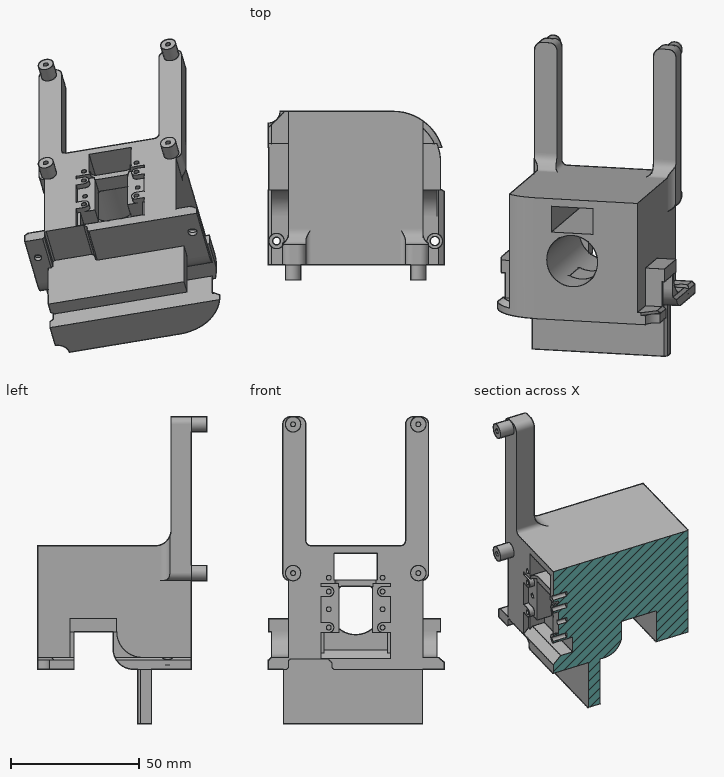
import cadquery as cq
import math


TOTAL_WIDTH = 68.75
TOTAL_HEIGHT = 119.92

BODY_HALF_WIDTH = 26.3
BODY_DEPTH = 59.99
BODY_HEIGHT = 48.35

PASSAGE_FRONT_Y = 30.6
PASSAGE_REAR_Y = 45.8
PASSAGE_HEIGHT = 14.7
PASSAGE_ROUND = 8.0

CORNER_X = 14.6
CORNER_Y = 40.0

FLANGE_HEIGHT = 4.7
ARCH_TOP = 19.8
ARCH_FRONT_Y = 29.15
ARCH_REAR_Y = 47.35
ARCH_ROUND = 10.0
LEFT_FOOT_X = -34.16
LEFT_ARCH_X = -32.9
LEFT_BRIDGE_X = -34.0
LEFT_EDGE_HEIGHT = 3.6
RIGHT_FOOT_X = LEFT_FOOT_X + TOTAL_WIDTH
RIGHT_ARCH_X = 31.8
RIGHT_BRIDGE_X = 33.2
RIGHT_FLAT_X = 32.3
RIGHT_EDGE_HEIGHT = 2.8
NOTCH_RADIUS = 4.6

SCREW_X = 30.9
SCREW_Y = 9.3
LEFT_SCREW_DIAMETER = 2.9
RIGHT_SCREW_DIAMETER = 3.5
SCREW_HEAD_DIAMETER = 6.0
SCREW_SEAT_Z = 1.8

ARM_OUTER_X = 28.5
ARM_INNER_X = 19.45
ARM_THICKNESS = 8.0
ARM_TOP = 98.7
ARM_BOTTOM = 34.6
ARM_ROUND = 3.0
ARM_INNER_FILLET = 2.0
ARM_REAR_FILLET = 6.0
ARM_SIDE_FILLET = 4.0

PIN_DIAMETER = 6.0
PIN_LENGTH = 6.0
PIN_X = 24.45
PILOT_DIAMETER = 1.9
PIN_HOLE_DEPTH = 10.0

TONGUE_LEFT_X = -28.2
TONGUE_RIGHT_X = 26.1
TONGUE_FRONT_Y = 15.5
TONGUE_REAR_Y = 20.97
TONGUE_BOTTOM = ARM_TOP - TOTAL_HEIGHT
TONGUE_CHAMFER = 1.14

UPPER_HALF_WIDTH = 8.4
UPPER_BOTTOM = 35.0
UPPER_TOP = 45.3
RECESS_HALF_WIDTH = 13.6
RECESS_DEPTH = 2.2
RECESS_TOP = 33.6
WINDOW_HALF_WIDTH = 6.5
WINDOW_BOTTOM = 14.4
WINDOW_TOP = 32.4
PLATE_BACK_Y = 8.6
BORE_DIAMETER = 20.5
BORE_Z = 23.85
CHAMBER_HALF_WIDTH = 12.4
CHAMBER_FLOOR = 7.6
SLOPE_BOTTOM = 4.3
SCREW_ROW_X = 10.5
SCREW_ROW_Z = (35.8, 30.4, 23.5, 16.35)
TAB_ROWS_Z = (SCREW_ROW_Z[1], SCREW_ROW_Z[3])
TAB_RADIUS = 1.95
PILOT_DEPTH = 6.0
RELIEF_HALF_WIDTH = 8.0
RELIEF_DEPTH = 2.4
RELIEF_ROUND = 2.1

CHANNEL_RIGHT_X = -9.25
CHANNEL_HEIGHT = 4.0
CHANNEL_CORNER = 1.4
CHANNEL_EDGE_CHAMFER = 0.7


def box(x0, x1, y0, y1, z0, z1):
    return cq.Workplane("XY").box(x1 - x0, y1 - y0, z1 - z0, centered=False).translate((x0, y0, z0))


def upright_cylinder(x, y, diameter, z0, z1):
    return cq.Workplane("XY", origin=(x, y, z0)).circle(diameter / 2).extrude(z1 - z0)


def front_cylinder(x, z, diameter, y0, y1):
    """Cylinder along +Y from y0 to y1."""
    return cq.Workplane("XZ", origin=(x, y0, z)).circle(diameter / 2).extrude(y0 - y1)


def rounded_plan(x_limit, height):
    """Full-depth block out to x_limit, its rear right corner concentric with the body corner."""
    radius = x_limit - CORNER_X
    corner = upright_cylinder(CORNER_X, CORNER_Y, 2 * radius, 0, height)
    straight = box(LEFT_FOOT_X, x_limit, 0, CORNER_Y, 0, height)
    rear = box(LEFT_FOOT_X, CORNER_X, 0, BODY_DEPTH, 0, height)
    return straight.union(rear).union(corner)


def make_body():
    body = box(-BODY_HALF_WIDTH, BODY_HALF_WIDTH, 0, BODY_DEPTH, 0, BODY_HEIGHT)
    return body.intersect(rounded_plan(RIGHT_FOOT_X, BODY_HEIGHT))


def arch_strip(x0, x1):
    """Flange and arch wall: the side profile carried across from x0 to x1."""
    round_centre_y = ARCH_FRONT_Y - ARCH_ROUND
    round_centre_z = FLANGE_HEIGHT + ARCH_ROUND
    diagonal = ARCH_ROUND * math.sqrt(0.5)
    return (
        cq.Workplane("YZ", origin=(x0, 0, 0))
        .lineTo(BODY_DEPTH, 0)
        .lineTo(BODY_DEPTH, FLANGE_HEIGHT)
        .lineTo(ARCH_REAR_Y, FLANGE_HEIGHT)
        .lineTo(ARCH_REAR_Y, ARCH_TOP)
        .lineTo(ARCH_FRONT_Y, ARCH_TOP)
        .lineTo(ARCH_FRONT_Y, round_centre_z)
        .threePointArc(
            (round_centre_y + diagonal, round_centre_z - diagonal),
            (round_centre_y, FLANGE_HEIGHT),
        )
        .lineTo(0, FLANGE_HEIGHT)
        .close()
        .extrude(x1 - x0)
    )


def make_left_flange():
    inner = -BODY_HALF_WIDTH
    strip = arch_strip(LEFT_ARCH_X, inner)
    bridge = box(LEFT_BRIDGE_X, inner, ARCH_FRONT_Y, ARCH_REAR_Y, PASSAGE_HEIGHT, ARCH_TOP)
    foot = (
        cq.Workplane("XZ")
        .moveTo(inner, 0)
        .lineTo(LEFT_FOOT_X, 0)
        .lineTo(LEFT_FOOT_X, LEFT_EDGE_HEIGHT)
        .lineTo(LEFT_ARCH_X, FLANGE_HEIGHT)
        .lineTo(inner, FLANGE_HEIGHT)
        .close()
        .extrude(-BODY_DEPTH)
    )
    notch = upright_cylinder(LEFT_FOOT_X, BODY_DEPTH, 2 * NOTCH_RADIUS, 0, FLANGE_HEIGHT)
    bevel_leg = NOTCH_RADIUS * math.sqrt(2)
    bevel = (
        cq.Workplane("XY", origin=(LEFT_FOOT_X, BODY_DEPTH, LEFT_EDGE_HEIGHT))
        .lineTo(bevel_leg, 0)
        .lineTo(0, -bevel_leg)
        .close()
        .extrude(FLANGE_HEIGHT - LEFT_EDGE_HEIGHT)
    )
    return strip.union(bridge).union(foot).cut(notch).cut(bevel)


def make_right_foot():
    """Low flange with a bevelled rim that follows the rounded rear corner."""
    bevel_width = RIGHT_FOOT_X - RIGHT_FLAT_X
    straight = (
        cq.Workplane("XZ")
        .lineTo(RIGHT_FOOT_X, 0)
        .lineTo(RIGHT_FOOT_X, RIGHT_EDGE_HEIGHT)
        .lineTo(RIGHT_FLAT_X, FLANGE_HEIGHT)
        .lineTo(0, FLANGE_HEIGHT)
        .close()
        .extrude(-CORNER_Y)
    )
    radius = RIGHT_FOOT_X - CORNER_X
    corner = (
        cq.Workplane("XZ")
        .lineTo(radius, 0)
        .lineTo(radius, RIGHT_EDGE_HEIGHT)
        .lineTo(radius - bevel_width, FLANGE_HEIGHT)
        .lineTo(0, FLANGE_HEIGHT)
        .close()
        .revolve(360, (0, 0), (0, 1))
        .translate((CORNER_X, CORNER_Y, 0))
    )
    outside_body = box(BODY_HALF_WIDTH, RIGHT_FOOT_X, 0, BODY_DEPTH, 0, FLANGE_HEIGHT)
    return straight.union(corner).intersect(outside_body)


def make_right_flange():
    inner = BODY_HALF_WIDTH
    strip = arch_strip(inner, RIGHT_ARCH_X).intersect(rounded_plan(RIGHT_ARCH_X, ARCH_TOP))
    bridge = box(inner, RIGHT_BRIDGE_X, ARCH_FRONT_Y, ARCH_REAR_Y, PASSAGE_HEIGHT, ARCH_TOP)
    bridge = bridge.intersect(rounded_plan(RIGHT_BRIDGE_X, ARCH_TOP))
    return strip.union(bridge).union(make_right_foot())


def make_passage():
    mid = PASSAGE_ROUND * (1 - math.sqrt(0.5))
    return (
        cq.Workplane("YZ", origin=(LEFT_FOOT_X, 0, 0))
        .moveTo(PASSAGE_REAR_Y, 0)
        .lineTo(PASSAGE_REAR_Y, PASSAGE_HEIGHT)
        .lineTo(PASSAGE_FRONT_Y, PASSAGE_HEIGHT)
        .lineTo(PASSAGE_FRONT_Y, PASSAGE_ROUND)
        .threePointArc(
            (PASSAGE_FRONT_Y - mid, mid),
            (PASSAGE_FRONT_Y - PASSAGE_ROUND, 0),
        )
        .close()
        .extrude(TOTAL_WIDTH)
    )


def screw_hole(x, diameter):
    shank = upright_cylinder(x, SCREW_Y, diameter, 0, FLANGE_HEIGHT)
    head = upright_cylinder(x, SCREW_Y, SCREW_HEAD_DIAMETER, SCREW_SEAT_Z, FLANGE_HEIGHT)
    return shank.union(head)


def make_right_arm():
    """Arm blended into the body top, the body side and its own inner corner."""
    depth = ARM_THICKNESS + ARM_REAR_FILLET
    fillet_end_x = ARM_INNER_X - ARM_INNER_FILLET
    bend = 1 - math.sqrt(0.5)
    front_shape = (
        cq.Workplane("XZ")
        .moveTo(fillet_end_x, ARM_BOTTOM)
        .lineTo(ARM_OUTER_X, ARM_BOTTOM)
        .lineTo(ARM_OUTER_X, ARM_TOP)
        .lineTo(ARM_INNER_X, ARM_TOP)
        .lineTo(ARM_INNER_X, BODY_HEIGHT + ARM_INNER_FILLET)
        .threePointArc(
            (ARM_INNER_X - ARM_INNER_FILLET * bend, BODY_HEIGHT + ARM_INNER_FILLET * bend),
            (fillet_end_x, BODY_HEIGHT),
        )
        .close()
        .extrude(-depth)
    )
    front_shape = front_shape.edges("|Y and (>X or >Z)").fillet(ARM_ROUND)
    side_shape = (
        cq.Workplane("YZ")
        .moveTo(0, ARM_BOTTOM)
        .lineTo(0, ARM_TOP)
        .lineTo(ARM_THICKNESS, ARM_TOP)
        .lineTo(ARM_THICKNESS, BODY_HEIGHT + ARM_REAR_FILLET)
        .threePointArc(
            (ARM_THICKNESS + ARM_REAR_FILLET * bend, BODY_HEIGHT + ARM_REAR_FILLET * bend),
            (depth, BODY_HEIGHT),
        )
        .lineTo(depth, ARM_BOTTOM)
        .close()
        .extrude(ARM_OUTER_X)
    )
    blend_x = BODY_HALF_WIDTH + ARM_SIDE_FILLET
    blend_y = ARM_THICKNESS + ARM_SIDE_FILLET
    plan_shape = (
        cq.Workplane("XY", origin=(0, 0, ARM_BOTTOM))
        .lineTo(blend_x, 0)
        .lineTo(blend_x, ARM_THICKNESS)
        .threePointArc(
            (BODY_HALF_WIDTH + ARM_SIDE_FILLET * bend, ARM_THICKNESS + ARM_SIDE_FILLET * bend),
            (BODY_HALF_WIDTH, blend_y),
        )
        .lineTo(BODY_HALF_WIDTH, depth)
        .lineTo(0, depth)
        .close()
        .extrude(ARM_TOP - ARM_BOTTOM)
    )
    return front_shape.intersect(side_shape).intersect(plan_shape)


def pin_positions():
    heights = (ARM_BOTTOM + PIN_DIAMETER / 2, ARM_TOP - PIN_DIAMETER / 2)
    return [(x, z) for x in (-PIN_X, PIN_X) for z in heights]


def make_tongue():
    tongue = box(
        TONGUE_LEFT_X, TONGUE_RIGHT_X, TONGUE_FRONT_Y, TONGUE_REAR_Y, TONGUE_BOTTOM, FLANGE_HEIGHT
    )
    return tongue.edges("|Z and >Y and <X").chamfer(TONGUE_CHAMFER)


def make_recess():
    """Shallow recess in the front face with rounded screw tabs left standing, and the lintel relief."""
    recess = box(-RECESS_HALF_WIDTH, RECESS_HALF_WIDTH, 0, RECESS_DEPTH, SLOPE_BOTTOM, RECESS_TOP)
    for side in (-1, 1):
        for z in TAB_ROWS_Z:
            tab_x = side * SCREW_ROW_X
            edge_x = side * RECESS_HALF_WIDTH
            bar = box(
                min(tab_x, edge_x), max(tab_x, edge_x), 0, RECESS_DEPTH, z - TAB_RADIUS, z + TAB_RADIUS
            )
            recess = recess.cut(bar)
            recess = recess.cut(front_cylinder(tab_x, z, 2 * TAB_RADIUS, 0, RECESS_DEPTH))
    wedge = (
        cq.Workplane("YZ", origin=(-RECESS_HALF_WIDTH, 0, 0))
        .moveTo(0, SLOPE_BOTTOM)
        .lineTo(RECESS_DEPTH, SLOPE_BOTTOM)
        .lineTo(RECESS_DEPTH, SLOPE_BOTTOM + RECESS_DEPTH)
        .close()
        .extrude(2 * RECESS_HALF_WIDTH)
    )
    relief = box(-RELIEF_HALF_WIDTH, RELIEF_HALF_WIDTH, 0, RELIEF_DEPTH, WINDOW_TOP, UPPER_BOTTOM)
    relief = relief.edges("|Z and >Y").fillet(RELIEF_ROUND)
    return recess.cut(wedge).union(relief)


def make_chamber():
    """Pocket below the window plate; its floor meets the front through a 45 degree slope."""
    slope_rise = CHAMBER_FLOOR - SLOPE_BOTTOM
    return (
        cq.Workplane("YZ", origin=(-CHAMBER_HALF_WIDTH, 0, 0))
        .moveTo(0, SLOPE_BOTTOM)
        .lineTo(slope_rise, CHAMBER_FLOOR)
        .lineTo(PLATE_BACK_Y, CHAMBER_FLOOR)
        .lineTo(PLATE_BACK_Y, WINDOW_BOTTOM)
        .lineTo(0, WINDOW_BOTTOM)
        .close()
        .extrude(2 * CHAMBER_HALF_WIDTH)
    )


def make_front_openings():
    upper = box(-UPPER_HALF_WIDTH, UPPER_HALF_WIDTH, 0, BODY_DEPTH, UPPER_BOTTOM, UPPER_TOP)
    window = box(-WINDOW_HALF_WIDTH, WINDOW_HALF_WIDTH, 0, PLATE_BACK_Y, WINDOW_BOTTOM, WINDOW_TOP)
    bore = front_cylinder(0, BORE_Z, BORE_DIAMETER, PLATE_BACK_Y, BODY_DEPTH)
    openings = upper.union(window).union(bore).union(make_chamber()).union(make_recess())
    for x in (-SCREW_ROW_X, SCREW_ROW_X):
        for z in SCREW_ROW_Z:
            openings = openings.union(front_cylinder(x, z, PILOT_DIAMETER, 0, PILOT_DEPTH))
    return openings


def make_channel():
    left = -BODY_HALF_WIDTH
    right = CHANNEL_RIGHT_X
    return (
        cq.Workplane("XZ")
        .moveTo(left - CHANNEL_EDGE_CHAMFER, 0)
        .lineTo(left, CHANNEL_EDGE_CHAMFER)
        .lineTo(left, CHANNEL_HEIGHT - CHANNEL_EDGE_CHAMFER)
        .lineTo(left + CHANNEL_EDGE_CHAMFER, CHANNEL_HEIGHT)
        .lineTo(right - CHANNEL_CORNER, CHANNEL_HEIGHT)
        .lineTo(right, CHANNEL_HEIGHT - CHANNEL_CORNER)
        .lineTo(right, CHANNEL_EDGE_CHAMFER)
        .lineTo(right + CHANNEL_EDGE_CHAMFER, 0)
        .close()
        .extrude(-TONGUE_FRONT_Y)
    )


result = make_body().union(make_left_flange()).union(make_right_flange())
result = result.cut(make_passage())
result = result.cut(screw_hole(-SCREW_X, LEFT_SCREW_DIAMETER))
result = result.cut(screw_hole(SCREW_X, RIGHT_SCREW_DIAMETER))
right_arm = make_right_arm()
result = result.union(right_arm).union(right_arm.mirror("YZ"))
for pin_x, pin_z in pin_positions():
    result = result.union(front_cylinder(pin_x, pin_z, PIN_DIAMETER, -PIN_LENGTH, 0))
    result = result.cut(
        front_cylinder(pin_x, pin_z, PILOT_DIAMETER, -PIN_LENGTH, PIN_HOLE_DEPTH - PIN_LENGTH)
    )
result = result.union(make_tongue())
result = result.cut(make_front_openings())
result = result.cut(make_channel())